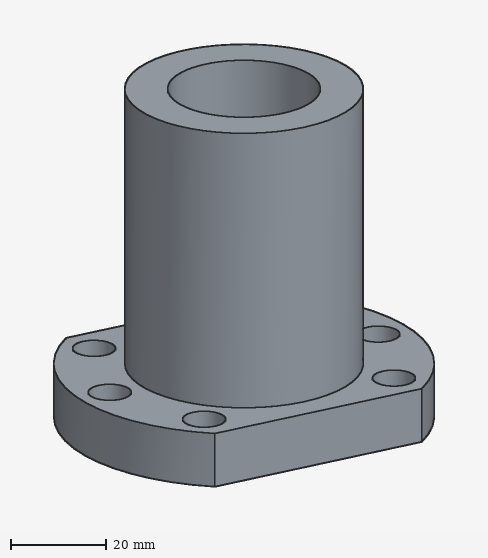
import cadquery as cq

flange_diameter = 79.75
flange_width = 62.0
flange_thickness = 12.05

barrel_diameter = 50.0
bore_diameter = 32.0
total_height = 74.0

hole_diameter = 9.0
bolt_circle_diameter = 65.0
hole_pitch_angle = 45.0
holes_per_side = 3


def make_flange():
    """Round flange cut by two flats parallel to the Y axis."""
    disc = cq.Workplane("XY").circle(flange_diameter / 2).extrude(flange_thickness)
    flats = cq.Workplane("XY").rect(flange_width, flange_diameter).extrude(flange_thickness)
    return disc.intersect(flats)


def make_barrel():
    return cq.Workplane("XY").circle(barrel_diameter / 2).extrude(total_height)


def make_bore():
    return cq.Workplane("XY").circle(bore_diameter / 2).extrude(total_height)


def make_mounting_holes(center_angle):
    """Group of through-hole cutters spread evenly about center_angle."""
    start_angle = center_angle - hole_pitch_angle * (holes_per_side - 1) / 2
    return (
        cq.Workplane("XY")
        .polarArray(bolt_circle_diameter / 2, start_angle, hole_pitch_angle, holes_per_side, fill=False)
        .circle(hole_diameter / 2)
        .extrude(flange_thickness)
    )


result = make_flange().union(make_barrel()).cut(make_bore())
for side_angle in (90, -90):
    result = result.cut(make_mounting_holes(side_angle))